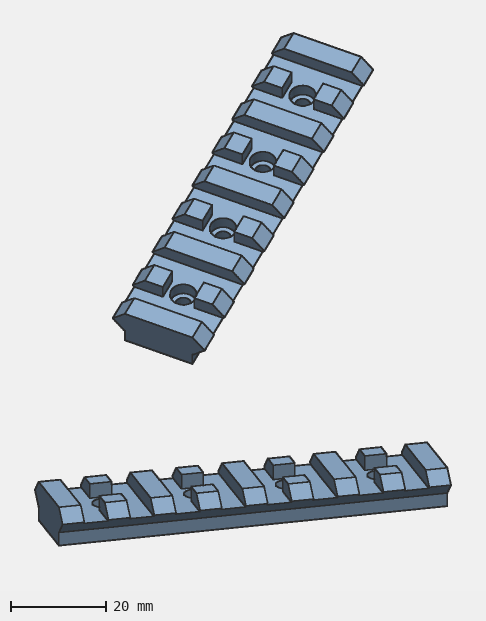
import cadquery as cq

length = 84.75
overall_width = 21.3
height = 8.65
flat_width = 15.6
base_width = 15.6
flank_run = (overall_width - flat_width) / 2
edge_height = height - flank_run
foot_height = edge_height - (overall_width - base_width) / 2

tooth_count = 9
tooth_pitch = 10.0
tooth_length = length - (tooth_count - 1) * tooth_pitch
slot_length = tooth_pitch - tooth_length
slot_depth = 3.2
slot_floor = height - slot_depth

gap_width = 7.3
hole_diameter = 3.3
counterbore_diameter = 5.6
counterbore_depth = 3.0


def tooth_center(index):
    return (index - (tooth_count - 1) / 2) * tooth_pitch


def rail_body():
    half_profile = [
        (0, 0),
        (base_width / 2, 0),
        (base_width / 2, foot_height),
        (overall_width / 2, edge_height),
        (flat_width / 2, height),
        (0, height),
    ]
    half = cq.Workplane("XZ").polyline(half_profile).close().extrude(length / 2, both=True)
    return half.union(half.mirror("YZ"))


def top_cut(width, cut_length, y_center):
    cutter = cq.Workplane("XY").box(width, cut_length, slot_depth, centered=(True, True, False))
    return cutter.translate((0, y_center, slot_floor))


result = rail_body()

for i in range(tooth_count - 1):
    slot_center = (tooth_center(i) + tooth_center(i + 1)) / 2
    result = result.cut(top_cut(overall_width, slot_length, slot_center))

split_teeth = [tooth_center(i) for i in range(1, tooth_count, 2)]
for y in split_teeth:
    result = result.cut(top_cut(gap_width, tooth_length, y))

result = (
    result.cut(cq.Workplane("XY", origin=(0, 0, slot_floor))
               .pushPoints([(0, y) for y in split_teeth])
               .circle(counterbore_diameter / 2)
               .extrude(-counterbore_depth))
    .cut(cq.Workplane("XY")
         .pushPoints([(0, y) for y in split_teeth])
         .circle(hole_diameter / 2)
         .extrude(slot_floor))
)